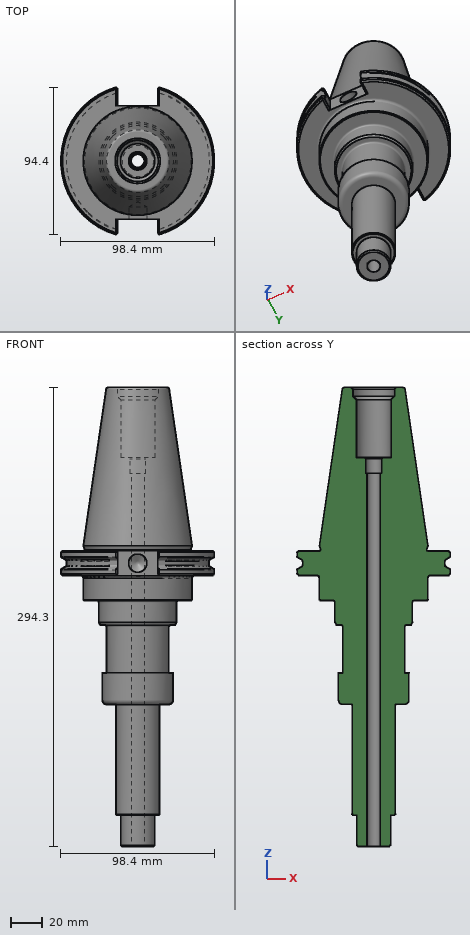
import cadquery as cq
import math


overall_length = 294.3

gauge_radius = 69.85 / 2
taper_length = 101.6
taper_ratio = 7 / 24
taper_end_round = 1.8
taper_end_level = taper_length - taper_end_round
taper_end_radius = gauge_radius - taper_end_level * taper_ratio / 2
end_face_radius = taper_end_radius - taper_end_round

relief_depth = 0.8
relief_fillet = 0.8
flange_top = -3.175

flange_radius = 98.43 / 2
flange_thickness = 15.875
flange_bottom = flange_top - flange_thickness
flange_middle = flange_top - flange_thickness / 2
flange_chamfer = 1.1
groove_depth = 3.4
groove_mouth_width = 7.6
groove_flank_angle = math.radians(30)
groove_floor_radius = flange_radius - groove_depth
groove_floor_width = groove_mouth_width - 2 * groove_depth * math.tan(groove_flank_angle)
groove_edge_round = 0.7
groove_root_round = 0.9

keyway_width = 25.7
keyway_wall_chamfer = 1.1
front_keyway_floor = 37.4
rear_keyway_floor = 35.4
dimple_diameter = 11.7
dimple_depth = 8.0
drill_point_angle = 118

collar_radius = gauge_radius
collar_bottom = -35.1
shoulder_radius = 50 / 2
shoulder_bottom = -50.8
neck_radius = 40 / 2
ring_radius = 45.5 / 2
ring_top = -81.4
ring_bottom = -101.7
ring_bottom_round = 3.0
shank_radius = 28 / 2
tip_radius = 22 / 2
tip_length = 20.0
tip_bottom = taper_length - overall_length
shank_bottom = tip_bottom + tip_length
edge_chamfer = 0.7
shoulder_chamfer = 1.0
shoulder_chamfer_height = 1.9
tip_chamfer = 1.0
step_fillet = 1.2
collar_fillet = 1.6

mouth_radius = 29 / 2
counterbore_radius = 26.4 / 2
counterbore_depth = 5.7
socket_radius = 22 / 2
socket_depth = 45.0
coolant_entry_radius = 11.7 / 2
coolant_entry_depth = 10.0
coolant_upper_radius = 10 / 2
coolant_radius = 8.35 / 2


def groove_half_points():
    """Tangent points of the rounded upper half of the V-groove, from rim to floor."""
    along_radius = math.cos(groove_flank_angle)
    along_axis = math.sin(groove_flank_angle)
    half_bend = (math.pi / 2 - groove_flank_angle) / 2
    edge_tangent = groove_edge_round * math.tan(half_bend)
    root_tangent = groove_root_round * math.tan(half_bend)
    mouth_level = flange_middle + groove_mouth_width / 2
    floor_level = flange_middle + groove_floor_width / 2
    rim = (flange_radius, mouth_level + edge_tangent)
    flank_start = (flange_radius - edge_tangent * along_radius, mouth_level - edge_tangent * along_axis)
    flank_end = (groove_floor_radius + root_tangent * along_radius, floor_level + root_tangent * along_axis)
    floor = (groove_floor_radius, floor_level - root_tangent)
    return rim, flank_start, flank_end, floor


def mirror_in_flange(point):
    """Mirror a (radius, level) point in the middle plane of the flange."""
    radius, level = point
    return radius, 2 * flange_middle - level


def make_body():
    """Revolve the outer profile, from the taper end down to the tip."""
    relief_radius = gauge_radius - relief_depth
    upper_rim, upper_flank_start, upper_flank_end, upper_floor = groove_half_points()
    profile = (
        cq.Workplane("XZ")
        .moveTo(0, taper_length)
        .lineTo(end_face_radius, taper_length)
        .radiusArc((taper_end_radius, taper_end_level), taper_end_round)
        .lineTo(gauge_radius, 0)
        .lineTo(relief_radius, flange_top + relief_fillet)
        .radiusArc((relief_radius + relief_fillet, flange_top), -relief_fillet)
        .lineTo(flange_radius - flange_chamfer, flange_top)
        .lineTo(flange_radius, flange_top - flange_chamfer)
        .lineTo(*upper_rim)
        .radiusArc(upper_flank_start, groove_edge_round)
        .lineTo(*upper_flank_end)
        .radiusArc(upper_floor, -groove_root_round)
        .lineTo(*mirror_in_flange(upper_floor))
        .radiusArc(mirror_in_flange(upper_flank_end), -groove_root_round)
        .lineTo(*mirror_in_flange(upper_flank_start))
        .radiusArc(mirror_in_flange(upper_rim), groove_edge_round)
        .lineTo(flange_radius, flange_bottom + flange_chamfer)
        .lineTo(flange_radius - flange_chamfer, flange_bottom)
        .lineTo(collar_radius + collar_fillet, flange_bottom)
        .radiusArc((collar_radius, flange_bottom - collar_fillet), -collar_fillet)
        .lineTo(collar_radius, collar_bottom + edge_chamfer)
        .lineTo(collar_radius - edge_chamfer, collar_bottom)
        .lineTo(shoulder_radius + step_fillet, collar_bottom)
        .radiusArc((shoulder_radius, collar_bottom - step_fillet), -step_fillet)
        .lineTo(shoulder_radius, shoulder_bottom + shoulder_chamfer_height)
        .lineTo(shoulder_radius - shoulder_chamfer, shoulder_bottom)
        .lineTo(neck_radius + step_fillet, shoulder_bottom)
        .radiusArc((neck_radius, shoulder_bottom - step_fillet), -step_fillet)
        .lineTo(neck_radius, ring_top)
        .lineTo(ring_radius, ring_top)
        .lineTo(ring_radius, ring_bottom + ring_bottom_round)
        .radiusArc((ring_radius - ring_bottom_round, ring_bottom), ring_bottom_round)
        .lineTo(shank_radius, ring_bottom)
        .lineTo(shank_radius, shank_bottom + edge_chamfer)
        .lineTo(shank_radius - edge_chamfer, shank_bottom)
        .lineTo(tip_radius, shank_bottom)
        .lineTo(tip_radius, tip_bottom + tip_chamfer)
        .lineTo(tip_radius - tip_chamfer, tip_bottom)
        .lineTo(0, tip_bottom)
        .close()
    )
    return profile.revolve(360, (0, 0, 0), (0, 1, 0))


def make_bore():
    """Stepped bore from the taper end, running through to the tip."""
    mouth_chamfer = mouth_radius - counterbore_radius
    seat_height = counterbore_radius - socket_radius
    entry_height = coolant_entry_radius - coolant_upper_radius
    counterbore_bottom = taper_length - counterbore_depth
    socket_bottom = taper_length - socket_depth
    profile = (
        cq.Workplane("XZ")
        .moveTo(0, taper_length)
        .lineTo(mouth_radius, taper_length)
        .lineTo(counterbore_radius, taper_length - mouth_chamfer)
        .lineTo(counterbore_radius, counterbore_bottom)
        .lineTo(socket_radius, counterbore_bottom - seat_height)
        .lineTo(socket_radius, socket_bottom)
        .lineTo(coolant_entry_radius, socket_bottom)
        .lineTo(coolant_upper_radius, socket_bottom - entry_height)
        .lineTo(coolant_upper_radius, socket_bottom - coolant_entry_depth)
        .lineTo(coolant_radius, socket_bottom - coolant_entry_depth)
        .lineTo(coolant_radius, tip_bottom)
        .lineTo(0, tip_bottom)
        .close()
    )
    return profile.revolve(360, (0, 0, 0), (0, 1, 0))


def make_keyway(floor_distance, side):
    """Drive slot through the flange on the -Y (side = -1) or +Y (side = 1) side.

    The slot walls are chamfered at the two flange faces and at the rim, and the
    slot reaches down past the fillet under the flange.
    """
    half_width = keyway_width / 2
    wide_half_width = half_width + keyway_wall_chamfer
    outside = flange_radius + 1
    right_wall = [
        (wide_half_width, flange_bottom - collar_fillet),
        (wide_half_width, flange_bottom),
        (half_width, flange_bottom + keyway_wall_chamfer),
        (half_width, flange_top - keyway_wall_chamfer),
        (wide_half_width, flange_top),
    ]
    left_wall = [(-x, z) for x, z in reversed(right_wall)]
    slot = (
        cq.Workplane("XZ", origin=(0, side * floor_distance, 0))
        .polyline(right_wall + left_wall)
        .close()
        .extrude(-side * (outside - floor_distance))
    )

    rim_distance = math.sqrt(flange_radius**2 - wide_half_width**2)
    flare_start = rim_distance - keyway_wall_chamfer
    rim_flare = (
        cq.Workplane("XY", origin=(0, 0, flange_bottom))
        .moveTo(-half_width, side * flare_start)
        .lineTo(-wide_half_width, side * rim_distance)
        .lineTo(-wide_half_width, side * outside)
        .lineTo(wide_half_width, side * outside)
        .lineTo(wide_half_width, side * rim_distance)
        .lineTo(half_width, side * flare_start)
        .close()
        .extrude(flange_thickness)
    )
    return slot.union(rim_flare)


def make_dimple():
    """Drilled blind hole with a conical end in the floor of the -Y keyway."""
    radius = dimple_diameter / 2
    point_height = radius / math.tan(math.radians(drill_point_angle / 2))
    profile = (
        cq.Workplane("XY", origin=(0, 0, flange_middle))
        .moveTo(0, -front_keyway_floor)
        .lineTo(radius, -front_keyway_floor)
        .lineTo(radius, dimple_depth - front_keyway_floor)
        .lineTo(0, dimple_depth + point_height - front_keyway_floor)
        .close()
    )
    return profile.revolve(360, (0, 0, 0), (0, 1, 0))


result = (
    make_body()
    .cut(make_bore())
    .cut(make_keyway(front_keyway_floor, -1))
    .cut(make_keyway(rear_keyway_floor, 1))
    .cut(make_dimple())
)